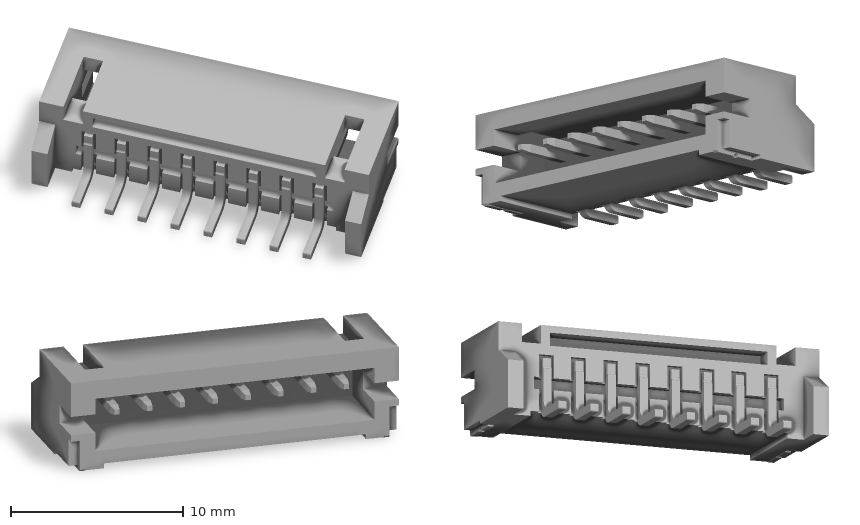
import cadquery as cq


length = 20
mating_face_y = 8.6
front_face_y = 2.58
top_z = 5.55
seat_z = 0.05
centre_bottom_z = 0.35
seat_foot_width = 2

wing_width = 0.98
wing_front_y = 1.02
wing_slope_low_z = 2.92
wing_slope_high_z = 3.85

cavity_end_y = 4.35
cavity_floor_z = 1.2
cavity_ceiling_z = 4.42
end_wall = 1.48

side_notch_y = 6.38
side_notch_low_z = 2.32
side_notch_high_z = 3.45

top_slot_width = 1.18
top_slot_end_y = 6.65
top_slot_centre_x = length / 2 - end_wall - top_slot_width / 2

window_width = 13.55
window_low_z = 4.35
window_high_z = 5.12
window_depth = 1.2

groove_width = 15.55
groove_low_z = 1.7
groove_high_z = 2.42
groove_depth = 0.65

terminal_count = 8
terminal_pitch = 2
terminal_size = 0.5
lead_front_y = 2.38
lead_back_y = lead_front_y + terminal_size
lead_top_z = 3.55
lead_step = 0.08
lead_step_low_z = 2.9
lead_step_high_z = 3.08
bend_inner_radius = 0.48
bend_outer_radius = 0.65
foot_rounding = 0.1
contact_centre_z = 3.22
contact_taper_y = 7.4
contact_tip_y = 8
contact_tip_size = 0.32

channel_width = 0.92
channel_top_z = 3.78
dimple_size = 0.78
dimple_centre_z = 1.08
dimple_depth = 0.15
dimple_inner_size = 0.45

tab_outer_inset = 0.55
tab_thickness = 0.35
tab_inner_inset = tab_outer_inset + tab_thickness
tab_front_y = 5.7
tab_upright_y = 8.12
tab_upright_top_z = 1.92
tab_foot_top_z = 0.25
tab_corner_chamfer = 0.12
tab_relief_y = 6.98
tab_relief_radius = 0.18
recess_front_y = 5.5

terminal_xs = [terminal_pitch * (i - (terminal_count - 1) / 2) for i in range(terminal_count)]


def box(x_range, y_range, z_range):
    """Block between the given limits on each axis."""
    (x0, x1), (y0, y1), (z0, z1) = x_range, y_range, z_range
    return cq.Workplane("XY").box(x1 - x0, y1 - y0, z1 - z0, centered=False).translate((x0, y0, z0))


def centred_box(width, y_range, z_range, centre_x=0):
    """Block of the given width in X around centre_x."""
    return box((centre_x - width / 2, centre_x + width / 2), y_range, z_range)


def both_ends(part):
    """The part and its mirror image at the other end of the connector."""
    return part.union(part.mirror("YZ"))


def make_wing():
    """Wing at the -X end, with a sloping top edge."""
    return (
        cq.Workplane("YZ", origin=(-length / 2, 0, 0))
        .moveTo(front_face_y, seat_z)
        .lineTo(wing_front_y, seat_z)
        .lineTo(wing_front_y, wing_slope_low_z)
        .lineTo(front_face_y, wing_slope_high_z)
        .close()
        .extrude(wing_width)
    )


def make_tab_recess():
    """L-shaped cut at the -X end for a solder tab, open at the side, the bottom and the mating face."""
    x_range = (-length / 2, -length / 2 + tab_inner_inset)
    under = box(x_range, (recess_front_y, mating_face_y), (seat_z, tab_foot_top_z))
    behind = box(x_range, (tab_upright_y, mating_face_y), (seat_z, tab_upright_top_z))
    return under.union(behind)


def make_housing():
    """Plain housing without terminal channels."""
    y_range = (front_face_y, mating_face_y)
    window_y = (front_face_y, front_face_y + window_depth)
    groove_y = (front_face_y, front_face_y + groove_depth)
    top_slot = centred_box(
        top_slot_width, (front_face_y, top_slot_end_y), (cavity_ceiling_z, top_z), -top_slot_centre_x
    )
    body = centred_box(length, y_range, (seat_z, top_z)).union(both_ends(make_wing()))
    cuts = [
        centred_box(length - 2 * seat_foot_width, y_range, (seat_z, centre_bottom_z)),
        centred_box(length - 2 * end_wall, (cavity_end_y, mating_face_y), (cavity_floor_z, cavity_ceiling_z)),
        centred_box(length, (side_notch_y, mating_face_y), (side_notch_low_z, side_notch_high_z)),
        centred_box(window_width, window_y, (window_low_z, window_high_z)),
        centred_box(groove_width, groove_y, (groove_low_z, groove_high_z)),
        both_ends(top_slot),
        both_ends(make_tab_recess()),
    ]
    for cut in cuts:
        body = body.cut(cut)
    return body


def make_channel(x):
    """Cut around one lead: a channel in the front face and a tapered dimple in its back."""
    channel = centred_box(channel_width, (front_face_y, lead_back_y), (centre_bottom_z, channel_top_z), x)
    dimple = (
        cq.Workplane("XZ", origin=(x, lead_back_y, dimple_centre_z))
        .rect(dimple_size, dimple_size)
        .workplane(offset=-dimple_depth)
        .rect(dimple_inner_size, dimple_inner_size)
        .loft(ruled=True)
    )
    return channel.union(dimple)


def make_terminal(x):
    """Bent terminal: foot, bend and stepped lead outside, square contact with a tapered tip inside."""
    bend_end_y = lead_front_y - bend_inner_radius
    bend_end_z = terminal_size + bend_inner_radius
    step_y = lead_front_y + lead_step
    step_mid = (step_y, (lead_step_low_z + lead_step_high_z) / 2)
    lead = (
        cq.Workplane("YZ", origin=(x - terminal_size / 2, 0, 0))
        .moveTo(0, 0)
        .lineTo(lead_back_y - bend_outer_radius, 0)
        .radiusArc((lead_back_y, bend_outer_radius), -bend_outer_radius)
        .lineTo(lead_back_y, lead_top_z)
        .lineTo(step_y, lead_top_z)
        .lineTo(step_y, lead_step_high_z)
        .threePointArc(step_mid, (lead_front_y, lead_step_low_z))
        .lineTo(lead_front_y, bend_end_z)
        .radiusArc((bend_end_y, terminal_size), bend_inner_radius)
        .lineTo(0, terminal_size)
        .close()
        .extrude(terminal_size)
        .edges("|X and <Y")
        .fillet(foot_rounding)
    )
    contact = (
        cq.Workplane("XZ", origin=(x, lead_back_y, contact_centre_z))
        .rect(terminal_size, terminal_size)
        .extrude(lead_back_y - contact_taper_y)
    )
    tip = (
        cq.Workplane("XZ", origin=(x, contact_taper_y, contact_centre_z))
        .rect(terminal_size, terminal_size)
        .workplane(offset=contact_taper_y - contact_tip_y)
        .rect(contact_tip_size, contact_tip_size)
        .loft(ruled=True)
    )
    return lead.union(contact).union(tip)


def make_tab(lower_x):
    """L-shaped sheet tab whose lower X face is at lower_x, with a round relief under its foot."""
    profile = (
        cq.Workplane("YZ", origin=(lower_x, 0, 0))
        .moveTo(tab_front_y, 0)
        .lineTo(mating_face_y - tab_corner_chamfer, 0)
        .lineTo(mating_face_y, tab_corner_chamfer)
        .lineTo(mating_face_y, tab_upright_top_z)
        .lineTo(tab_upright_y, tab_upright_top_z)
        .lineTo(tab_upright_y, tab_foot_top_z)
        .lineTo(tab_front_y, tab_foot_top_z)
        .close()
        .extrude(tab_thickness)
    )
    relief = (
        cq.Workplane("YZ", origin=(lower_x, tab_relief_y, 0))
        .circle(tab_relief_radius)
        .extrude(tab_thickness)
    )
    return profile.cut(relief)


header = make_housing()
for terminal_x in terminal_xs:
    header = header.cut(make_channel(terminal_x)).union(make_terminal(terminal_x))

tab_lower_xs = [-length / 2 + tab_outer_inset, length / 2 - tab_inner_inset]
tabs = [make_tab(lower_x) for lower_x in tab_lower_xs]

result = cq.Compound.makeCompound([header.solids().val(), *[tab.val() for tab in tabs]])